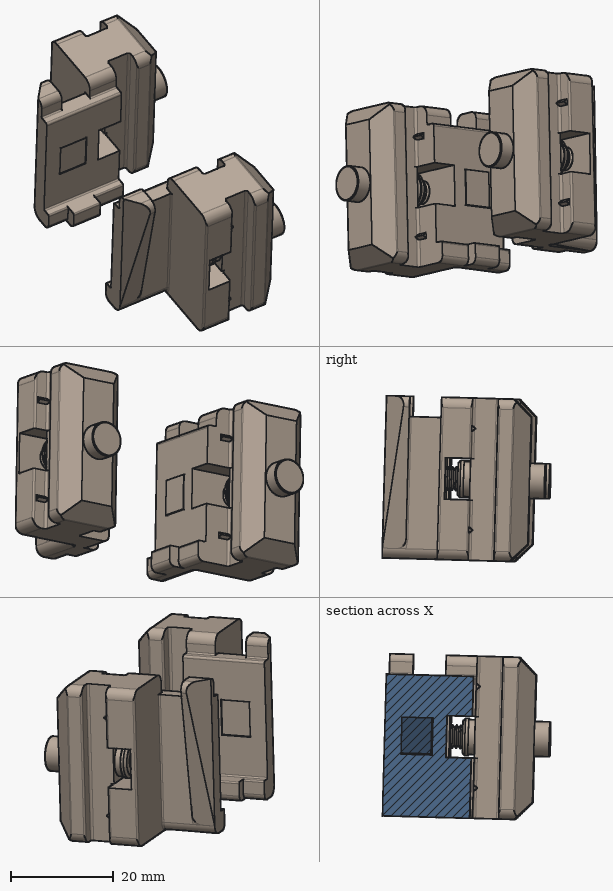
import cadquery as cq


SELECT_REACH = 0.05

SCREW_SPACING = 43.75
PITCH_ANGLE = -1.6
YAW_ANGLE = -1.2

HEIGHT = 31.6
TOP = HEIGHT / 2
BOTTOM = -TOP
HALF_WIDTH = 7.0
RAIL_FACE_X = 7.4
BLOCK_DEPTH = 17.5
LONG_EDGE_RADIUS = 2.0
REAR_CHAMFER = 3.4
SMALL_EDGE_RADIUS = 0.35

GROOVE_WIDTH = 5.0
GROOVE_FRONT_Y = -6.05
GROOVE_REAR_Y = GROOVE_FRONT_Y - GROOVE_WIDTH
CORE_WIDTH = 7.9
GROOVE_RADIUS = 0.45

RIDGE_OFFSET = 9.9
RIDGE_BASE = 1.15
RIDGE_PROJECTION = 0.7
RIDGE_END_X = 6.35

WINDOW_HEIGHT = 8.1
WINDOW_WALL = 1.1
CORE_OVERHANG = 0.1
CORE_FRONT_Y = GROOVE_FRONT_Y + CORE_OVERHANG

PLATE_INNER_X = 5.9
PLATE_OUTER_X = 9.4
PLATE_FRONT_Y = 11.0
PLATE_TOP = TOP - 3.95
PLATE_TOP_RADIUS = 0.45
LIP_X = 11.2
LIP_TOP = BOTTOM + 4.05
LIP_RADIUS = 1.3
LIP_TOP_RADIUS = 0.3
BLEND_RADIUS = 0.3
TONGUE_X = 13.35
TONGUE_REAR_Y = 0.5
TONGUE_WIDTH = 6.05

RIB_THICKNESS = 4.6
RIB_REAR_Y = PLATE_FRONT_Y - RIB_THICKNESS
RIB_TOP_RADIUS = 1.45
NOSE_X = 1.3
NOSE_LAND = 0.9
NOSE_RADIUS = 1.75
NOSE_TAPER_BOTTOM = BOTTOM + LONG_EDGE_RADIUS

HEAD_DIAMETER = 6.85
HEAD_PROTRUSION = 3.1
HEAD_EDGE = 0.2
NECK_LENGTH = 1.4
FLANGE_DIAMETER = 7.3
FLANGE_LENGTH = 1.15
FLANGE_CHAMFER = 0.5
THREAD_DIAMETER = 4.6
THREAD_ROOT_DIAMETER = 3.4
THREAD_TURNS = 3

INSERT_DEPTH = 2.3
INSERT_LENGTH = 5.8
INSERT_HEIGHT = 6.95
INSERT_REAR_Y = 1.8
INSERT_GAP = 0.145


def box(x_range, y_range, z_range):
    """Box between pairs of limits."""
    sizes = [high - low for low, high in (x_range, y_range, z_range)]
    corner = (x_range[0], y_range[0], z_range[0])
    return cq.Workplane("XY").box(*sizes, centered=False).translate(corner)


def edges_near(body, direction, x_range, y_range, z_range):
    """Edges along one direction whose centers lie within the limits, widened by a small reach."""
    limits = (x_range, y_range, z_range)
    low_corner = tuple(low - SELECT_REACH for low, high in limits)
    high_corner = tuple(high + SELECT_REACH for low, high in limits)
    return body.edges(direction).edges(cq.selectors.BoxSelector(low_corner, high_corner))


def rear_section():
    """Rear part of the block, with rounded long edges and a chamfered rear face."""
    limits = ((-HALF_WIDTH, HALF_WIDTH), (-BLOCK_DEPTH, GROOVE_REAR_Y), (BOTTOM, TOP))
    rounded = box(*limits).edges("|Y").fillet(LONG_EDGE_RADIUS)
    upright = box(*limits).edges("|Z and >Y").fillet(SMALL_EDGE_RADIUS)
    chamfered = box(*limits).faces("<Y").chamfer(REAR_CHAMFER)
    rim_y = -BLOCK_DEPTH + REAR_CHAMFER
    rim = edges_near(chamfered, None, limits[0], (rim_y, rim_y), limits[2])
    chamfered = rim.fillet(SMALL_EDGE_RADIUS)
    return rounded.intersect(upright).intersect(chamfered)


def front_section():
    """Front part of the block; its lower rail-side corner stays square to join the plate."""
    limits = ((-HALF_WIDTH, RAIL_FACE_X), (GROOVE_FRONT_Y, 0), (BOTTOM, TOP))
    rounded = box(*limits).edges("|Y and (>Z or <X)").fillet(LONG_EDGE_RADIUS)
    upright = box(*limits).edges("|Z and <X").fillet(SMALL_EDGE_RADIUS)
    root = box((0, PLATE_OUTER_X), (GROOVE_FRONT_Y, 0), (BOTTOM, PLATE_TOP - PLATE_TOP_RADIUS))
    return rounded.intersect(upright).union(root)


def block():
    """Rear and front sections joined by the core, with rounded groove corners."""
    half_core = CORE_WIDTH / 2
    core = box((-half_core, half_core), (GROOVE_REAR_Y, GROOVE_FRONT_Y), (BOTTOM, TOP))
    body = rear_section().union(core).union(front_section())
    corners = edges_near(
        body, "|Z", (-half_core, half_core), (GROOVE_REAR_Y, GROOVE_FRONT_Y), (BOTTOM, TOP)
    )
    return corners.fillet(GROOVE_RADIUS)


def plate():
    """Upright jaw plate with a lip along its lower edge and a tongue on the lip."""
    y_range = (GROOVE_FRONT_Y, PLATE_FRONT_Y)
    tongue_y = (TONGUE_REAR_Y, TONGUE_REAR_Y + TONGUE_WIDTH)
    web = box((PLATE_INNER_X, PLATE_OUTER_X), y_range, (BOTTOM, PLATE_TOP))
    web = web.edges("|Y and >Z and >X").fillet(PLATE_TOP_RADIUS)
    web = web.edges("|Y and <Z and <X").fillet(LONG_EDGE_RADIUS)
    lip = box((PLATE_INNER_X + LONG_EDGE_RADIUS, LIP_X), y_range, (BOTTOM, LIP_TOP))
    lip = lip.edges("|Y and >Z and >X").fillet(LIP_TOP_RADIUS)
    lip = lip.edges("|Y and <Z and >X").fillet(LIP_RADIUS)
    tongue = box((PLATE_INNER_X + LONG_EDGE_RADIUS, TONGUE_X), tongue_y, (BOTTOM, LIP_TOP))
    tongue = tongue.edges("|Y and >Z and >X").fillet(LIP_TOP_RADIUS)
    tongue = tongue.edges("|Y and <Z and >X").fillet(LIP_RADIUS)
    return web.union(lip).union(tongue)


def rib():
    """Rib at the plate front; its nose tapers downward and slants back to the plate."""
    upright = (
        cq.Workplane("XZ", origin=(0, PLATE_FRONT_Y, 0))
        .moveTo(RAIL_FACE_X, NOSE_TAPER_BOTTOM)
        .lineTo(PLATE_INNER_X, NOSE_TAPER_BOTTOM)
        .lineTo(NOSE_X, TOP)
        .lineTo(RAIL_FACE_X, TOP)
        .close()
        .extrude(RIB_THICKNESS)
    )
    upright = upright.edges("|Y and >Z and >X").fillet(RIB_TOP_RADIUS)
    upright = upright.edges("|Y and >Z and <X").fillet(NOSE_RADIUS)
    plan = (
        cq.Workplane("XY", origin=(0, 0, BOTTOM))
        .moveTo(RAIL_FACE_X, RIB_REAR_Y)
        .lineTo(NOSE_X, RIB_REAR_Y)
        .lineTo(NOSE_X, RIB_REAR_Y + NOSE_LAND)
        .lineTo(PLATE_INNER_X, PLATE_FRONT_Y)
        .lineTo(RAIL_FACE_X, PLATE_FRONT_Y)
        .close()
        .extrude(HEIGHT)
    )
    return upright.intersect(plan)


def groove_ridges():
    """Triangular ridges across the front walls of both grooves, above and below the window."""
    ridges = cq.Workplane("YZ", origin=(-RIDGE_END_X, 0, 0))
    for ridge_z in (-RIDGE_OFFSET, RIDGE_OFFSET):
        ridges = (
            ridges.moveTo(GROOVE_FRONT_Y, ridge_z - RIDGE_BASE / 2)
            .lineTo(GROOVE_FRONT_Y - RIDGE_PROJECTION, ridge_z)
            .lineTo(GROOVE_FRONT_Y, ridge_z + RIDGE_BASE / 2)
            .close()
        )
    return ridges.extrude(2 * RIDGE_END_X)


def insert_shape(gap):
    """Rectangular insert flush with the rail side of the plate; a gap enlarges it below and at the rear."""
    return box(
        (PLATE_OUTER_X - INSERT_DEPTH, PLATE_OUTER_X),
        (INSERT_REAR_Y - gap, INSERT_REAR_Y + INSERT_LENGTH),
        (-INSERT_HEIGHT / 2 - gap, INSERT_HEIGHT / 2),
    )


def rod(diameter, rear_y, front_y):
    """Cylinder on the screw axis between two Y positions."""
    return cq.Workplane("XZ", origin=(0, front_y, 0)).circle(diameter / 2).extrude(front_y - rear_y)


def blend_along_y(body, x, z):
    """Round the inside corner that runs along Y at the given X and Z."""
    return edges_near(body, "|Y", (x, x), (GROOVE_FRONT_Y, PLATE_FRONT_Y), (z, z)).fillet(BLEND_RADIUS)


def blend_along_z(body, x, y):
    """Round the inside corner that runs along Z at the given X and Y."""
    return edges_near(body, "|Z", (x, x), (y, y), (BOTTOM, TOP)).fillet(BLEND_RADIUS)


def window():
    """Opening across the front section and its groove corners; the core reaches a little into it."""
    half_core = CORE_WIDTH / 2
    z_range = (-WINDOW_HEIGHT / 2, WINDOW_HEIGHT / 2)
    rear_y = GROOVE_FRONT_Y - GROOVE_RADIUS
    opening = box((-HALF_WIDTH, PLATE_OUTER_X), (rear_y, -WINDOW_WALL), z_range)
    return opening.cut(box((-half_core, half_core), (rear_y, CORE_FRONT_Y), z_range))


def build_housing():
    """Block, plate and rib in one body, with the window, screw bore and insert pocket cut out."""
    body = block().union(plate()).union(rib())
    body = blend_along_y(body, PLATE_OUTER_X, LIP_TOP)
    body = blend_along_y(body, RAIL_FACE_X, PLATE_TOP)
    body = blend_along_z(body, PLATE_INNER_X, 0)
    body = blend_along_z(body, PLATE_INNER_X, RIB_REAR_Y)
    body = body.union(groove_ridges())
    bore = rod(HEAD_DIAMETER, -BLOCK_DEPTH, CORE_FRONT_Y)
    return body.cut(window()).cut(bore).cut(insert_shape(INSERT_GAP))


def build_screw():
    """Screw as one turned profile: head, neck, chamfered flange and ridged thread."""
    head_radius = HEAD_DIAMETER / 2
    flange_radius = FLANGE_DIAMETER / 2
    crest_radius = THREAD_DIAMETER / 2
    root_radius = THREAD_ROOT_DIAMETER / 2
    head_end = -BLOCK_DEPTH - HEAD_PROTRUSION
    flange_rear = GROOVE_FRONT_Y + NECK_LENGTH
    flange_front = flange_rear + FLANGE_LENGTH
    pitch = (-WINDOW_WALL - flange_front) / THREAD_TURNS

    profile = (
        cq.Workplane("XY")
        .moveTo(0, head_end)
        .lineTo(head_radius - HEAD_EDGE, head_end)
        .lineTo(head_radius, head_end + HEAD_EDGE)
        .lineTo(head_radius, flange_rear)
        .lineTo(flange_radius, flange_rear)
        .lineTo(flange_radius, flange_front - FLANGE_CHAMFER)
        .lineTo(flange_radius - FLANGE_CHAMFER, flange_front)
        .lineTo(root_radius, flange_front)
    )
    for turn in range(THREAD_TURNS):
        turn_start = flange_front + turn * pitch
        profile = profile.lineTo(crest_radius, turn_start + pitch / 2)
        profile = profile.lineTo(root_radius, turn_start + pitch)
    return profile.lineTo(0, -WINDOW_WALL).close().revolve(360, (0, 0, 0), (0, 1, 0))


def place(body, mirrored):
    """Turn a body half round into the right clamp, or mirror that to the left, then tilt the pair."""
    placed = body.rotate((0, 0, 0), (0, 0, 1), 180).translate((SCREW_SPACING / 2, 0, 0))
    if mirrored:
        placed = placed.mirror("YZ")
    placed = placed.rotate((0, 0, 0), (1, 0, 0), PITCH_ANGLE)
    return placed.rotate((0, 0, 0), (0, 0, 1), YAW_ANGLE)


housing = build_housing()
screw = build_screw()
insert = insert_shape(0)

solids = []
for mirrored in (False, True):
    for body in (housing, screw, insert):
        solids.append(place(body, mirrored).val())

result = cq.Compound.makeCompound(solids)